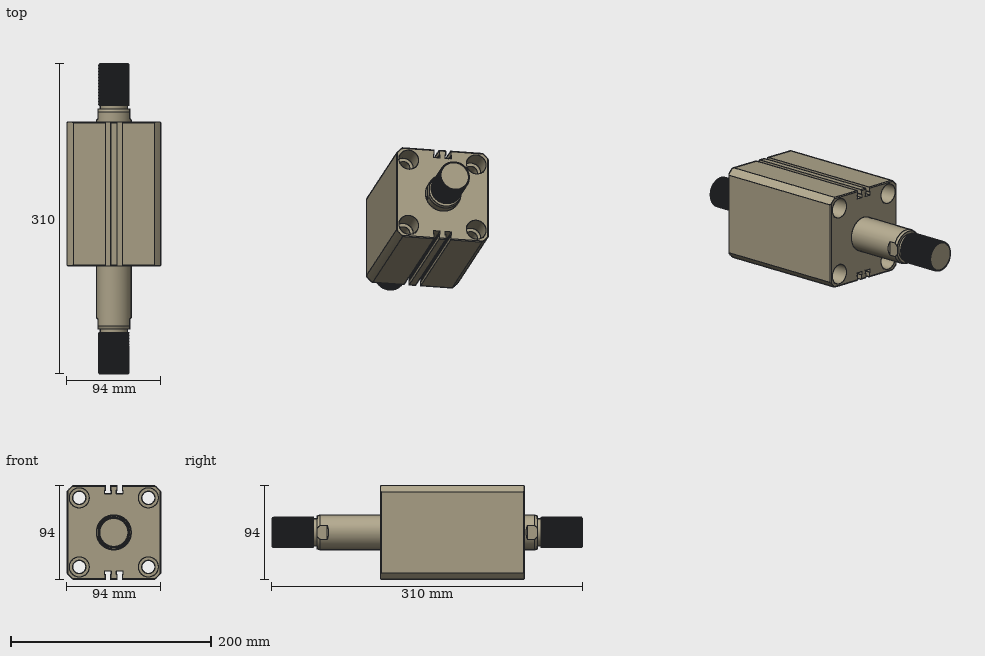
import cadquery as cq
import math


housing_side = 94.0
housing_length = 144.0
corner_flat_cut = 6.5
end_bevel = 1.0
half_side = housing_side / 2
half_length = housing_length / 2
corner_radius = math.hypot(half_side, half_side - corner_flat_cut)

hole_pitch = 69.0
hole_diameter = 13.0
counterbore_diameter = 20.0
counterbore_depth = 25.0

slot_offset = 5.9
slot_mouth_width = 5.2
slot_floor_width = 6.5
slot_depth = 8.3
slot_mouth_depth = 5.0

rod_diameter = 35.0
front_shoulder = 63.0
rear_shoulder = 13.0
shoulder_chamfer_length = 3.0
shoulder_chamfer_drop = 1.0
neck_diameter = 27.5
neck_length = 3.5
rod_end_length = 45.0

flat_width = 32.0
flat_length = 10.0
flat_runout = (rod_diameter - flat_width) / 2

thread_diameter = 30.5
thread_pitch = 1.5
thread_depth = 1.1
groove_mouth_width = 0.85 * thread_pitch
groove_root_width = 0.2
groove_clearance = 0.1
groove_turns = 4
tip_chamfer = 1.2


def make_housing():
    """Square block with turned corners, bevelled ends, slots, bolt holes and a rod bore."""
    block = cq.Workplane("XY").box(housing_side, housing_length, housing_side)
    block = block.faces("<Y or >Y").edges().chamfer(end_bevel)
    turned = cq.Workplane("XZ").circle(corner_radius).extrude(half_length, both=True)
    body = block.intersect(turned)

    for side in (-1, 1):
        for x in (-slot_offset, slot_offset):
            body = body.cut(slot_cutter(x, side))

    drill = (
        cq.Workplane("XZ")
        .rect(hole_pitch, hole_pitch, forConstruction=True)
        .vertices()
        .circle(hole_diameter / 2)
        .extrude(half_length, both=True)
    )
    body = body.cut(drill)
    for face_y in (-half_length, half_length - counterbore_depth):
        counterbores = (
            cq.Workplane("XZ", origin=(0, face_y, 0))
            .rect(hole_pitch, hole_pitch, forConstruction=True)
            .vertices()
            .circle(counterbore_diameter / 2)
            .extrude(-counterbore_depth)
        )
        body = body.cut(counterbores)

    bore = cq.Workplane("XZ").circle(rod_diameter / 2).extrude(half_length, both=True)
    return body.cut(bore)


def slot_cutter(x, side):
    """Full-length T-slot at x, opening at the top (side = 1) or the bottom (side = -1)."""
    floor_height = slot_depth - slot_mouth_depth
    mouth_z = side * (half_side - slot_depth / 2)
    floor_z = side * (half_side - slot_depth + floor_height / 2)
    mouth = cq.Workplane("XY").box(slot_mouth_width, housing_length, slot_depth)
    floor = cq.Workplane("XY").box(slot_floor_width, housing_length, floor_height)
    return mouth.translate((x, 0, mouth_z)).union(floor.translate((x, 0, floor_z)))


def make_threaded_end():
    """Neck and thread along +Z, starting at the shoulder plane Z = 0."""
    thread_radius = thread_diameter / 2
    neck_radius = neck_diameter / 2
    stud = (
        cq.Workplane("XZ")
        .lineTo(neck_radius, 0)
        .lineTo(neck_radius, neck_length)
        .lineTo(thread_radius, neck_length)
        .lineTo(thread_radius, rod_end_length - tip_chamfer)
        .lineTo(thread_radius - tip_chamfer, rod_end_length)
        .lineTo(0, rod_end_length)
        .close()
        .revolve(360, (0, 0), (0, 1))
    )
    groove = thread_groove_length()
    groove_rise = groove_turns * thread_pitch
    groove_start = neck_length - thread_pitch / 2
    groove_count = math.ceil((rod_end_length + thread_pitch - groove_start) / groove_rise)
    for i in range(groove_count):
        stud = stud.cut(groove.translate((0, 0, groove_start + i * groove_rise)))
    return stud


def thread_groove_length():
    """A few turns of the right-hand helical V-groove, starting at Z = 0."""
    crest_radius = thread_diameter / 2
    root_radius = crest_radius - thread_depth
    outer_radius = crest_radius + groove_clearance
    path = cq.Wire.makeHelix(thread_pitch, groove_turns * thread_pitch, crest_radius)
    return (
        cq.Workplane("XZ")
        .moveTo(root_radius, -groove_root_width / 2)
        .lineTo(outer_radius, -groove_mouth_width / 2)
        .lineTo(outer_radius, groove_mouth_width / 2)
        .lineTo(root_radius, groove_root_width / 2)
        .close()
        .sweep(cq.Workplane(path), isFrenet=True)
    )


def make_rod(shoulder_reach, threaded_end):
    """Rod from the middle of the housing, pointing along +Z, with wrench flats and a threaded end."""
    shoulder = half_length + shoulder_reach
    rod_radius = rod_diameter / 2
    rod = (
        cq.Workplane("XZ")
        .lineTo(rod_radius, 0)
        .lineTo(rod_radius, shoulder - shoulder_chamfer_length)
        .lineTo(rod_radius - shoulder_chamfer_drop, shoulder)
        .lineTo(0, shoulder)
        .close()
        .revolve(360, (0, 0), (0, 1))
    )
    for side in (-1, 1):
        rod = rod.cut(flat_cutter(side, shoulder))
    return rod.union(threaded_end.translate((0, 0, shoulder)))


def flat_cutter(side, shoulder):
    """Prism that mills one wrench flat, with a sloped run-out towards the housing."""
    flat_x = side * flat_width / 2
    outer_x = side * rod_diameter / 2
    flat_start = shoulder - flat_length
    return (
        cq.Workplane("XZ")
        .moveTo(flat_x, shoulder)
        .lineTo(flat_x, flat_start)
        .lineTo(outer_x, flat_start - flat_runout)
        .lineTo(outer_x, shoulder)
        .close()
        .extrude(rod_diameter / 2, both=True)
    )


housing = make_housing()
threaded_end = make_threaded_end()
front_rod = make_rod(front_shoulder, threaded_end).rotate((0, 0, 0), (1, 0, 0), 90)
rear_rod = make_rod(rear_shoulder, threaded_end).rotate((0, 0, 0), (1, 0, 0), -90)

result = cq.Compound.makeCompound([housing.val(), front_rod.val(), rear_rod.val()])